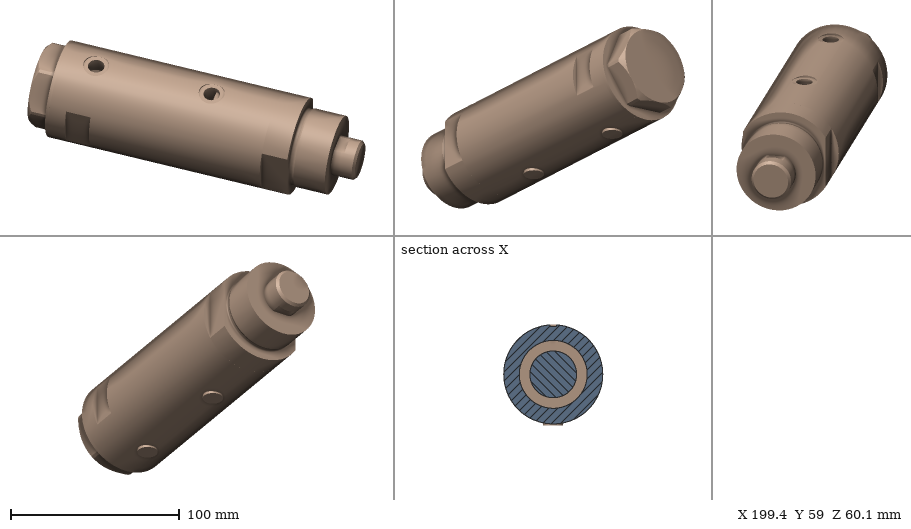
import cadquery as cq
import math


cap_flange_start = 12.9
housing_start = 14.9
wrench_recess_start = 25.1
wrench_recess_end = 40.2
cap_plug_end = 38.6
gland_start = 108.8
housing_end = 146.3
head_end = 162.1
thread_start = 165.7
gland_end = 185.0
rod_flats_end = 191.5
rod_end = 199.42

housing_radius = 29.5
bore_radius = 20.0
gland_seat_radius = 26.0
wrench_recess_across = 53.0

top_port_stations = (35.4, 107.2)
port_radius = 4.9
spotface_radius = 7.7
spotface_height = 28.4
stud_stations = (38.9, 110.4)
stud_radius = 6.0
stud_tip_height = -30.6

hex_across = 46.0
hex_corner_radius = 26.0
hex_turn = -7.3

head_across = 50.0
thread_radius = 24.0
relief_radius = 23.2
thread_lead_in = 1.6
relief_fillet = 0.9

rod_radius = 12.0
rod_tail_radius = 14.0
rod_flats_across = 21.2
rod_tip_chamfer = 1.5


def cylinder_x(radius, start, end):
    """Solid cylinder on the X axis between two stations."""
    return cq.Workplane("YZ", origin=(start, 0, 0)).circle(radius).extrude(end - start)


def block_x(width, height, start, end):
    """Solid block centred on the X axis between two stations, width in Y and height in Z."""
    return cq.Workplane("YZ", origin=(start, 0, 0)).rect(width, height).extrude(end - start)


def cylinder_z(radius, station, bottom, top):
    """Solid upright cylinder crossing the X axis at a station."""
    return cq.Workplane("XY", origin=(station, 0, bottom)).circle(radius).extrude(top - bottom)


def outside_flats(width, height, start, end):
    """Ring of material that leaves flats of the given width and height when cut away."""
    envelope = 4 * housing_radius
    return block_x(envelope, envelope, start, end).cut(block_x(width, height, start, end))


def make_housing():
    """Tube with a seat for the gland, side flats, two ports on top and two studs underneath."""
    housing = cylinder_x(housing_radius, housing_start, housing_end)
    side_flats = outside_flats(
        wrench_recess_across, 2 * housing_radius, wrench_recess_start, wrench_recess_end
    )
    housing = housing.cut(side_flats)
    for station in stud_stations:
        housing = housing.union(cylinder_z(stud_radius, station, stud_tip_height, -bore_radius))
    housing = housing.cut(cylinder_x(bore_radius, housing_start, housing_end))
    housing = housing.cut(cylinder_x(gland_seat_radius, gland_start, housing_end))
    for station in top_port_stations:
        housing = housing.cut(cylinder_z(port_radius, station, 0, housing_radius))
        housing = housing.cut(cylinder_z(spotface_radius, station, spotface_height, housing_radius))
    return housing


def make_cap():
    """Hexagon-headed cap with a flange and a plug that fits the bore."""
    hex_head = (
        cq.Workplane("YZ")
        .polygon(6, hex_across / math.cos(math.pi / 6))
        .extrude(cap_flange_start)
    )
    chamfer_size = hex_corner_radius - hex_across / 2
    turned_blank = cylinder_x(hex_corner_radius, 0, cap_flange_start).faces("<X").chamfer(chamfer_size)
    cap = (
        hex_head.intersect(turned_blank)
        .union(cylinder_x(housing_radius, cap_flange_start, housing_start))
        .union(cylinder_x(bore_radius, housing_start, cap_plug_end))
    )
    return cap.rotate((0, 0, 0), (1, 0, 0), hex_turn)


def make_gland():
    """Rod guide filling the end of the bore, with a flatted head and a mounting thread outside it."""
    profile = (
        cq.Workplane("XZ")
        .moveTo(gland_start, rod_radius)
        .lineTo(gland_start, gland_seat_radius)
        .lineTo(housing_end, gland_seat_radius)
        .lineTo(housing_end, housing_radius)
        .lineTo(head_end, housing_radius)
        .lineTo(head_end, relief_radius + relief_fillet)
        .radiusArc((head_end + relief_fillet, relief_radius), -relief_fillet)
        .lineTo(thread_start - thread_lead_in, relief_radius)
        .lineTo(thread_start, thread_radius)
        .lineTo(gland_end, thread_radius)
        .lineTo(gland_end, rod_radius)
        .close()
    )
    gland = profile.revolve(360, (0, 0, 0), (1, 0, 0))
    return gland.cut(outside_flats(head_across, 2 * housing_radius, housing_end, head_end))


def make_rod():
    """Rod with a thicker tail between cap and gland and two flats behind its tip."""
    rod = cylinder_x(rod_radius, gland_start, rod_end).faces(">X").chamfer(rod_tip_chamfer)
    rod = rod.cut(outside_flats(2 * rod_radius, rod_flats_across, gland_end, rod_flats_end))
    return rod.union(cylinder_x(rod_tail_radius, cap_plug_end, gland_start))


housing = make_housing()
cap = make_cap()
gland = make_gland()
rod = make_rod()

result = cq.Compound.makeCompound([housing.val(), cap.val(), gland.val(), rod.val()])